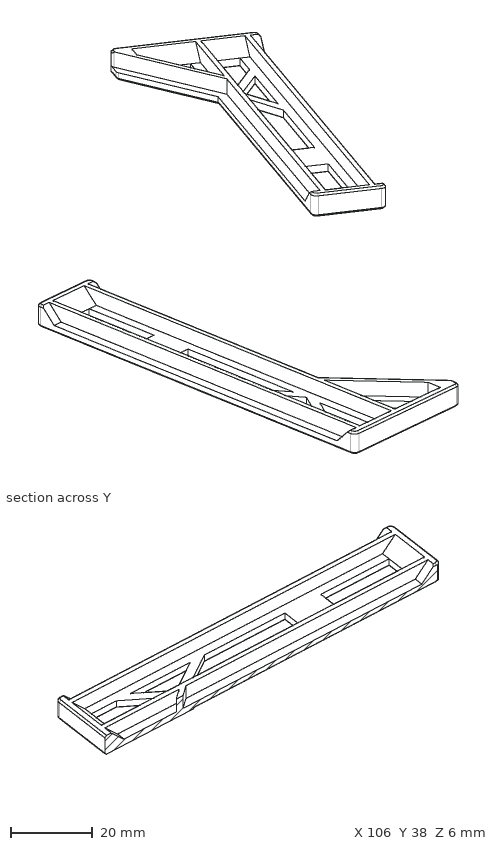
import cadquery as cq
import math

length = 106.0
width = 38.0
height = 6.0
floor = 2.0

rail_width = 19.1
ledge = 2.5
web = 1.4

end_wall = 2.0
ramp_foot = end_wall + height - floor
corner_radius = 1.5
edge_chamfer = 0.5
strut_angle = math.radians(40)
strut_end = ramp_foot

lattice_center = 27.8
lattice_run = 9.4
lattice_bar = 4.5
label_start = 67.1
label_end = 78.4

back_web_outer = -ledge
back_web_inner = -ledge - web
front_web_inner = -rail_width + ledge + web
front_web_outer = -rail_width + ledge
window_back = back_web_inner - ledge
window_front = front_web_inner + ledge


def strut_x(y, inset):
    """X at the given Y on the line parallel to the strut's outer edge, inset toward the corner."""
    return strut_end + (y + width) / math.tan(strut_angle) - inset / math.sin(strut_angle)


def strut_y(x, inset):
    """Y at the given X on that same inset line."""
    return -width + (x - strut_end + inset / math.sin(strut_angle)) * math.tan(strut_angle)


def prism(points, bottom, top):
    return cq.Workplane("XY").workplane(offset=bottom).polyline(points).close().extrude(top - bottom)


def bracket_outline(inset):
    """Rail plus triangular bracket, with the strut edge moved inward by inset."""
    return [
        (0, 0),
        (length, 0),
        (length, -rail_width),
        (strut_x(-rail_width, inset), -rail_width),
        (strut_x(-width, inset), -width),
        (0, -width),
    ]


def round_corners(body, points):
    """Fillet the vertical edges standing on the given plan points."""
    for x, y in points:
        edge = body.edges("|Z").edges(cq.selectors.NearestToPointSelector((x, y, height / 2)))
        body = edge.fillet(corner_radius)
    return body


def ramped_space(left_ramp):
    """Space above the floor between the end walls, with a ramp at the right and optionally the left."""
    left_foot = ramp_foot if left_ramp else end_wall
    profile = [
        (end_wall, height),
        (left_foot, floor),
        (length - ramp_foot, floor),
        (length - end_wall, height),
    ]
    return cq.Workplane("XZ").polyline(profile).close().extrude(width)


outline = bracket_outline(0)
block = prism(outline, 0, height)
convex_corners = outline[:3] + outline[4:]
block = round_corners(block, convex_corners)
block = block.faces("<Z or >Z").edges().chamfer(edge_chamfer)

upright_outline = bracket_outline(ledge)
upright = prism(upright_outline, 0, height)
strut_tip = upright_outline[4]
upright = round_corners(upright, [strut_tip])
body = block.intersect(upright.union(prism(outline, 0, floor)))

back_strip = [(0, 0), (length, 0), (length, back_web_outer), (0, back_web_outer)]
channel = [(0, back_web_inner), (length, back_web_inner), (length, front_web_inner), (0, front_web_inner)]
front_strip = [
    (strut_x(front_web_outer, ledge), front_web_outer),
    (length, front_web_outer),
    (length, -rail_width),
    (strut_x(-rail_width, ledge), -rail_width),
]
strut_inner = ledge + web
bracket_pocket = [
    (end_wall, front_web_outer),
    (strut_x(front_web_outer, strut_inner), front_web_outer),
    (ramp_foot, strut_y(ramp_foot, strut_inner)),
    (end_wall, strut_y(ramp_foot, strut_inner)),
]
for region in (back_strip, channel, bracket_pocket):
    body = body.cut(prism(region, floor, height).intersect(ramped_space(True)))
body = body.cut(prism(front_strip, floor, height).intersect(ramped_space(False)))

bar_reach = lattice_run + lattice_bar
windows = [
    [
        (ramp_foot, window_back),
        (lattice_center - bar_reach, window_back),
        (lattice_center - lattice_bar, window_front),
        (ramp_foot, window_front),
    ],
    [
        (lattice_center - lattice_run, window_back),
        (lattice_center + lattice_run, window_back),
        (lattice_center, window_front),
    ],
    [
        (lattice_center + bar_reach, window_back),
        (label_start, window_back),
        (label_start, window_front),
        (lattice_center + lattice_bar, window_front),
    ],
    [
        (label_end, window_back),
        (length - ramp_foot, window_back),
        (length - ramp_foot, window_front),
        (label_end, window_front),
    ],
    [
        (ramp_foot, -rail_width),
        (strut_x(-rail_width, strut_inner + ledge), -rail_width),
        (ramp_foot, strut_y(ramp_foot, strut_inner + ledge)),
    ],
]
for window in windows:
    body = body.cut(prism(window, 0, height))

result = body